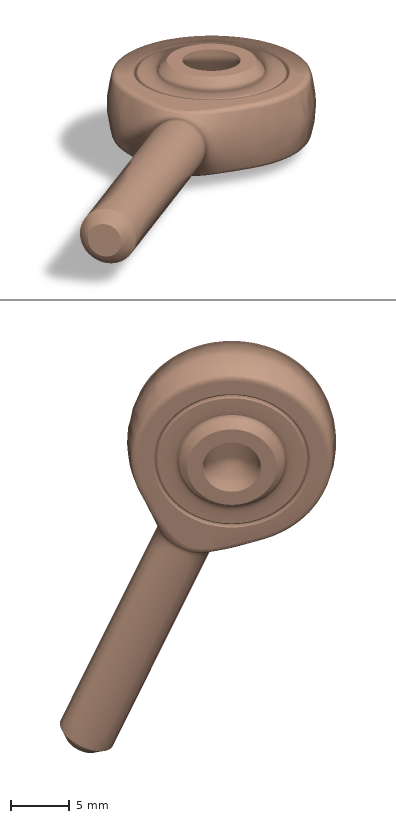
import cadquery as cq
import math

head_radius = 9.0
head_height = 6.0
head_edge_fillet = 0.5
shank_radius = 5.0 / 2
shank_end = 41.95 - head_radius
shank_tip_chamfer = 1.0
cone_angle = math.radians(45)

race_radius = 13.1 / 2
joint_chamfer = 0.2

ball_radius = 5.55
ball_width = 8.0
ball_bore_diameter = 5.0


def make_ball_blank():
    """Full sphere that forms both the ball and the seat in the race."""
    return cq.Workplane("XY").sphere(ball_radius)


def make_disc(radius, height):
    """Cylinder about Z, centred on the origin."""
    return cq.Workplane("XY").circle(radius).extrude(height / 2, both=True)


def make_head():
    """Sphere and tangent cone about Y, cut to a flat slab with rounded edges."""
    tangent_x = head_radius * math.cos(cone_angle)
    tangent_y = -head_radius * math.sin(cone_angle)
    cone_apex_y = -head_radius / math.sin(cone_angle)
    cone_end_y = cone_apex_y + shank_radius / math.tan(cone_angle)
    teardrop = (
        cq.Workplane("XY")
        .moveTo(0, head_radius)
        .threePointArc((head_radius, 0), (tangent_x, tangent_y))
        .lineTo(shank_radius, cone_end_y)
        .lineTo(0, cone_end_y)
        .close()
        .revolve(360, (0, 0, 0), (0, 1, 0))
    )
    slab_side = 2 * abs(cone_apex_y)
    slab = cq.Workplane("XY").box(slab_side, slab_side, head_height)
    head = teardrop.intersect(slab)
    return head.faces("|Z").edges().fillet(head_edge_fillet)


def make_shank():
    """Round shank from the head centre to its chamfered tip."""
    shank = cq.Workplane("XZ").circle(shank_radius).extrude(shank_end)
    return shank.faces("<Y").chamfer(shank_tip_chamfer)


def make_housing():
    """Head and shank with a chamfered bore for the race."""
    housing = make_head().union(make_shank())
    housing = housing.cut(make_disc(race_radius, head_height))
    bore_edges = cq.selectors.RadiusNthSelector(0)
    return housing.faces("|Z").edges("%CIRCLE").edges(bore_edges).chamfer(joint_chamfer)


def make_race():
    """Chamfered ring with a spherical seat for the ball."""
    race = make_disc(race_radius, head_height).edges().chamfer(joint_chamfer)
    return race.cut(make_ball_blank())


def make_ball():
    """Sphere with flat ends and a through bore."""
    ball = make_ball_blank().intersect(make_disc(ball_radius, ball_width))
    return ball.cut(make_disc(ball_bore_diameter / 2, ball_width))


housing = make_housing()
race = make_race()
ball = make_ball()

result = cq.Compound.makeCompound([body.solids().val() for body in (housing, race, ball)])